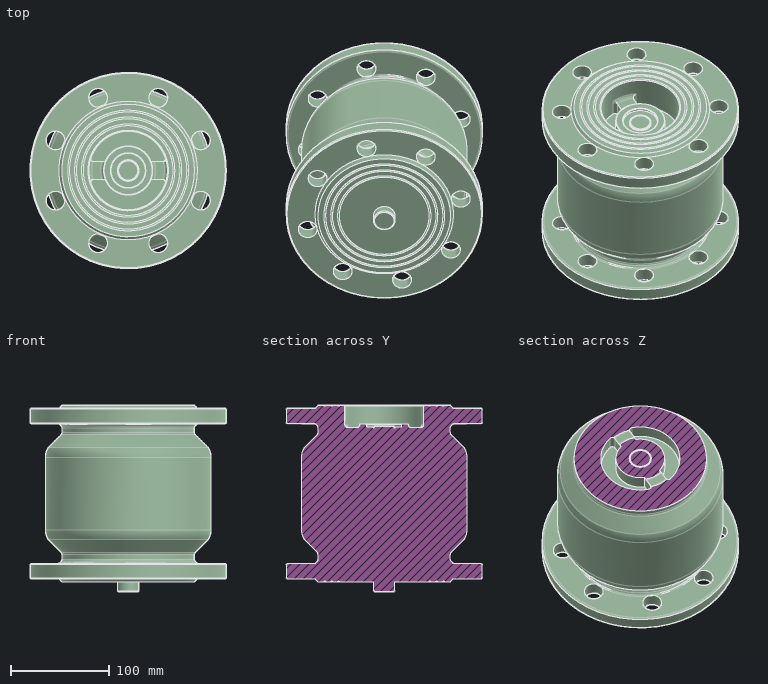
import cadquery as cq
import math


face_to_face = 180.0
flange_diameter = 200.0
flange_thickness = 16.0
flange_chamfer = 1.0
raised_face_diameter = 135.0
raised_face_height = 3.0
neck_diameter = 135.0
neck_body_fillet = 3.0
collar_length = 3.0
collar_fillet = 2.5
collar_flange_fillet = 2.0
body_diameter = 169.0
body_straight_length = 74.0
shoulder_radius = 18.0
shoulder_angle = math.radians(33)

bolt_count = 8
bolt_hole_diameter = 19.0
bolt_circle_diameter = 160.0

groove_outer_diameters = (123.0, 109.0, 95.0)
groove_width = 1.8
groove_depth = 0.7

bore_diameter = 80.0
bore_depth = 38.0
bore_chamfer = 1.0

guide_diameter = 50.0
guide_top_depth = 19.0
guide_chamfer = 0.5
guide_recess_diameter = 35.0
guide_recess_depth = 3.0
guide_recess_chamfer = 0.5
rib_width = 18.0
rib_top_depth = 22.7
rib_fillet = 3.0

pin_diameter = 22.0
pin_bottom_projection = 10.0
pin_bottom_chamfer = 1.0
pin_top_diameter = 21.0
pin_top_projection = 0.6
pin_top_chamfer = 0.7
clearance_depth = 1.0

half_height = face_to_face / 2
flange_outer_z = half_height - raised_face_height
flange_inner_z = flange_outer_z - flange_thickness
shoulder_start_z = body_straight_length / 2
bore_floor_z = half_height - bore_depth
guide_top_z = half_height - guide_top_depth
guide_recess_z = guide_top_z - guide_recess_depth
rib_top_z = half_height - rib_top_depth

margin = 0.5


def cylinder(diameter, bottom, top):
    return cq.Workplane("XY").workplane(offset=bottom).circle(diameter / 2).extrude(top - bottom)


def revolve_about_z(profile):
    return profile.close().revolve(360, (0, 0, 0), (0, 1, 0))


def box_selector(x_range, y_range, z_range):
    low, high = zip(x_range, y_range, z_range)
    return cq.selectors.BoxSelector(low, high)


def shoulder_point(angle):
    """Point (radius, z) on the shoulder arc, which leaves the body cylinder tangentially."""
    radius = body_diameter / 2 - shoulder_radius * (1 - math.cos(angle))
    return radius, shoulder_start_z + shoulder_radius * math.sin(angle)


def fillet_ring(solid, radius, z, fillet):
    """Fillet the full circular edge of the given radius at height z."""
    at_ring = box_selector((-radius, radius), (-radius, radius), (z - margin, z + margin))
    return solid.edges("%CIRCLE").edges(at_ring).fillet(fillet)


def make_groove(outer_diameter):
    outer = outer_diameter / 2
    inner = outer - groove_width
    middle = (outer + inner) / 2
    profile = (
        cq.Workplane("XZ")
        .moveTo(inner, half_height)
        .threePointArc((middle, half_height - groove_depth), (outer, half_height))
    )
    return revolve_about_z(profile)


def make_upper_end():
    """Shoulder, neck, flange and raised face of the upper end; its cones are all at 45 degrees."""
    neck = neck_diameter / 2
    collar = neck + collar_length
    flange = flange_diameter / 2
    raised = raised_face_diameter / 2
    shoulder_end = shoulder_point(shoulder_angle)
    neck_bottom_z = shoulder_end[1] + shoulder_end[0] - neck
    neck_top_z = flange_inner_z - collar_length
    profile = (
        cq.Workplane("XZ")
        .moveTo(0, shoulder_start_z)
        .lineTo(*shoulder_point(0))
        .threePointArc(shoulder_point(shoulder_angle / 2), shoulder_end)
        .lineTo(neck, neck_bottom_z)
        .lineTo(neck, neck_top_z)
        .lineTo(collar, flange_inner_z)
        .lineTo(flange - flange_chamfer, flange_inner_z)
        .lineTo(flange, flange_inner_z + flange_chamfer)
        .lineTo(flange, flange_outer_z - flange_chamfer)
        .lineTo(flange - flange_chamfer, flange_outer_z)
        .lineTo(raised + raised_face_height, flange_outer_z)
        .lineTo(raised, half_height)
        .lineTo(0, half_height)
    )
    end = revolve_about_z(profile)
    end = fillet_ring(end, neck, neck_bottom_z, neck_body_fillet)
    end = fillet_ring(end, neck, neck_top_z, collar_fillet)
    end = fillet_ring(end, collar, flange_inner_z, collar_flange_fillet)
    for outer_diameter in groove_outer_diameters:
        end = end.cut(make_groove(outer_diameter))
    bolt_holes = (
        cq.Workplane("XY")
        .workplane(offset=flange_inner_z)
        .polarArray(bolt_circle_diameter / 2, 180 / bolt_count, 360, bolt_count)
        .circle(bolt_hole_diameter / 2)
        .extrude(half_height - flange_inner_z)
    )
    return end.cut(bolt_holes)


def make_casing():
    upper_end = make_upper_end()
    body = cylinder(body_diameter, -shoulder_start_z, shoulder_start_z)
    return body.union(upper_end).union(upper_end.mirror("XY"))


def cut_bore(casing):
    """Cut the bore, leaving the guide hub and its ribs standing."""
    hub = cylinder(guide_diameter, bore_floor_z, guide_top_z)
    ribs = (
        cq.Workplane("XY")
        .workplane(offset=bore_floor_z)
        .rect(2 * bore_diameter, rib_width)
        .extrude(rib_top_z - bore_floor_z)
    )
    bore = cylinder(bore_diameter, bore_floor_z, half_height).cut(hub).cut(ribs)
    return casing.cut(bore)


def blend_ribs(part):
    """Fillet each rib to the bore, along its top and sides, and to the hub, along its top."""
    half_width = rib_width / 2
    bore = bore_diameter / 2
    hub = guide_diameter / 2
    for side in (-1, 1):
        for radius, lowest_z in ((bore, bore_floor_z), (hub, rib_top_z - margin)):
            corner_x = math.sqrt(radius**2 - half_width**2)
            x_range = sorted((side * (corner_x - margin), side * (radius + margin)))
            y_range = (-half_width - margin, half_width + margin)
            joint = box_selector(x_range, y_range, (lowest_z, rib_top_z + margin))
            part = part.edges(joint).fillet(rib_fillet)
    return part


def chamfered_mouth(diameter, top, chamfer):
    """Conical cutter that chamfers the rim of a hole of the given diameter at height top."""
    hole = diameter / 2
    profile = (
        cq.Workplane("XZ")
        .moveTo(0, top - chamfer)
        .lineTo(hole, top - chamfer)
        .lineTo(hole + chamfer, top)
        .lineTo(0, top)
    )
    return revolve_about_z(profile)


def hub_rim_cutter():
    """Ring of triangular section that chamfers the outer rim of the hub."""
    hub = guide_diameter / 2
    profile = (
        cq.Workplane("XZ")
        .moveTo(hub - guide_chamfer, guide_top_z)
        .lineTo(hub, guide_top_z - guide_chamfer)
        .lineTo(hub, guide_top_z)
    )
    return revolve_about_z(profile)


def finish_guide(part):
    """Chamfer the bore mouth and the hub rim, and sink the chamfered recess into the hub."""
    recess = cylinder(guide_recess_diameter, guide_recess_z, guide_top_z)
    recess_mouth = chamfered_mouth(guide_recess_diameter, guide_top_z, guide_recess_chamfer)
    bore_mouth = chamfered_mouth(bore_diameter, half_height, bore_chamfer)
    return part.cut(bore_mouth).cut(hub_rim_cutter()).cut(recess).cut(recess_mouth)


def add_pin(part):
    pin_bottom_z = -half_height - pin_bottom_projection
    pin_top_z = guide_recess_z + pin_top_projection
    clearance_z = guide_recess_z - clearance_depth
    clearance = cylinder(pin_diameter, clearance_z, guide_recess_z)
    pin_bottom = cylinder(pin_diameter, pin_bottom_z, -half_height).faces("<Z").chamfer(pin_bottom_chamfer)
    pin_top = cylinder(pin_top_diameter, clearance_z, pin_top_z).faces(">Z").chamfer(pin_top_chamfer)
    return part.cut(clearance).union(pin_bottom).union(pin_top)


result = add_pin(finish_guide(blend_ribs(cut_bore(make_casing()))))